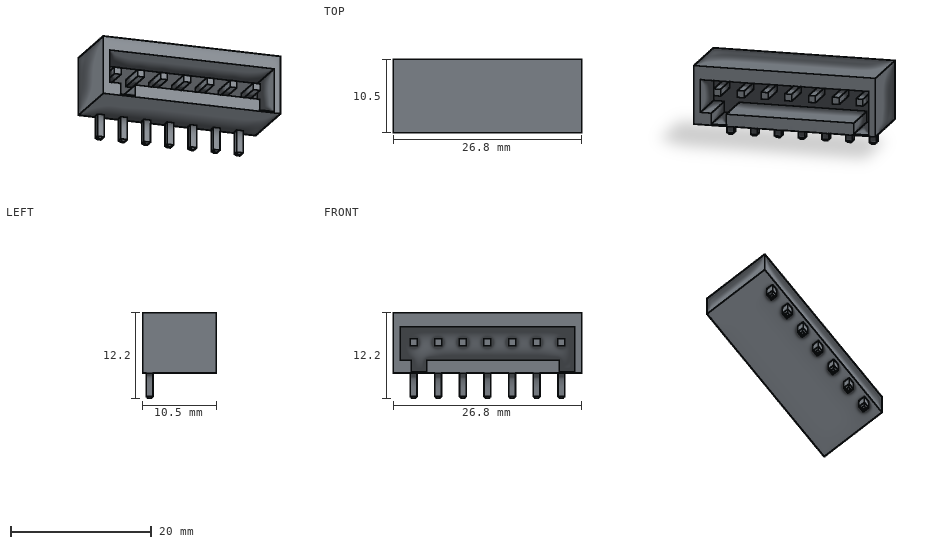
import cadquery as cq

PIN_COUNT = 7
PIN_PITCH = 3.5
END_MARGIN = 2.9
HOUSING_LENGTH = (PIN_COUNT - 1) * PIN_PITCH + 2 * END_MARGIN
HOUSING_DEPTH = 10.5
HOUSING_HEIGHT = 8.6

SIDE_WALL = 1.0
TOP_WALL = 2.0
FLOOR_THICKNESS = 1.8
CAVITY_DEPTH = 7.0
CAVITY_LENGTH = HOUSING_LENGTH - 2 * SIDE_WALL
CAVITY_HEIGHT = HOUSING_HEIGHT - TOP_WALL - FLOOR_THICKNESS

SLOT_WIDTH = 2.2
SLOT_FLOOR_THICKNESS = 0.2
LEFT_SLOT_START = 2.6
RIGHT_SLOT_START = HOUSING_LENGTH - SIDE_WALL - SLOT_WIDTH

PIN_WIDTH = 1.0
PIN_AXIS_HEIGHT = 4.35
PIN_TIP_SETBACK = 2.0
LEG_BACK_GAP = 0.5
LEG_LENGTH = 3.6
LEG_TIP_CHAMFER = 0.3


def corner_box(x, y, z, length, depth, height):
    """Box with its lowest corner at (x, y, z)."""
    return cq.Workplane("XY").box(length, depth, height, centered=False).translate((x, y, z))


def make_housing():
    """Block with the stepped mating cavity cut in from the mouth."""
    block = corner_box(0, 0, 0, HOUSING_LENGTH, HOUSING_DEPTH, HOUSING_HEIGHT)
    cavity = corner_box(SIDE_WALL, 0, FLOOR_THICKNESS, CAVITY_LENGTH, CAVITY_DEPTH, CAVITY_HEIGHT)
    housing = block.cut(cavity)
    slot_height = FLOOR_THICKNESS + CAVITY_HEIGHT - SLOT_FLOOR_THICKNESS
    for slot_start in (LEFT_SLOT_START, RIGHT_SLOT_START):
        slot = corner_box(slot_start, 0, SLOT_FLOOR_THICKNESS,
                          SLOT_WIDTH, CAVITY_DEPTH, slot_height)
        housing = housing.cut(slot)
    return housing


def make_pin(center_x):
    """L-shaped contact: a horizontal arm and a leg tapered at its lower end."""
    x = center_x - PIN_WIDTH / 2
    leg_back = HOUSING_DEPTH - LEG_BACK_GAP
    arm_bottom = PIN_AXIS_HEIGHT - PIN_WIDTH / 2
    arm = corner_box(x, PIN_TIP_SETBACK, arm_bottom,
                     PIN_WIDTH, leg_back - PIN_TIP_SETBACK, PIN_WIDTH)
    leg = corner_box(x, leg_back - PIN_WIDTH, -LEG_LENGTH,
                     PIN_WIDTH, PIN_WIDTH, LEG_LENGTH + arm_bottom + PIN_WIDTH)
    leg = leg.faces("<Z").edges().chamfer(LEG_TIP_CHAMFER)
    return arm.union(leg)


result = make_housing()
for pin_index in range(PIN_COUNT):
    result = result.union(make_pin(END_MARGIN + pin_index * PIN_PITCH))